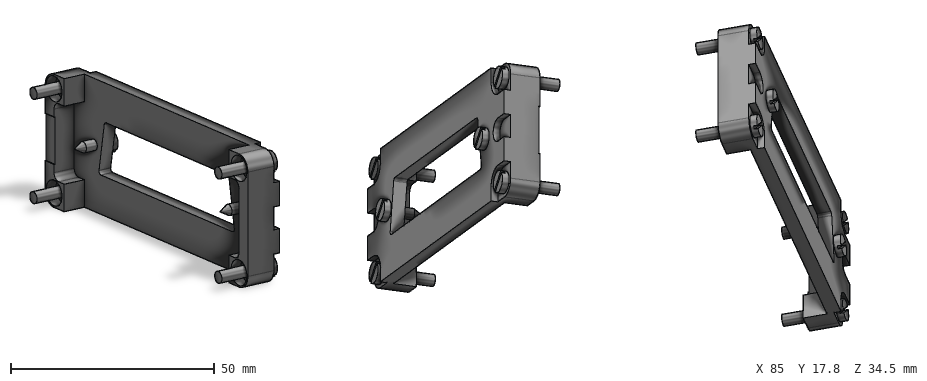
import cadquery as cq
import math

length = 85.0
height = 34.5
plate_thickness = 3.6
frame_depth = 9.7
corner_radius = 3.7

rail_width = corner_radius
block_width = 8.0
block_height = 7.1
block_fillet = 1.9

window_mid_width = 54.6
window_height = 14.1
window_slant = 10.0
window_radius = 0.85

head_radius = 2.8
head_height = 1.8
driver_slot_width = 0.8
driver_slot_depth = 0.9
driver_slot_angle = 45.0
screw_radius = 1.5
screw_reach = 16.0
screw_hole_radius = 3.3
screw_hole_depth = 3.0
pin_radius = 1.45
pin_spacing = 61.0
pin_shoulder = 6.9
pin_tip = 9.5

relief_radius = 4.25
end_notch_radius = 3.0

label_height = 12.2
label_depth = 0.25

screw_x = length / 2 - corner_radius
screw_z = height / 2 - corner_radius
hole_floor = frame_depth - screw_hole_depth
SIDES = (-1, 1)
CORNERS = [(sx, sz) for sx in SIDES for sz in SIDES]


def slab(x_size, z_size, x, z, rear, front):
    """Rectangular block centred on (x, z), from `rear` to `front` in distance ahead of the rear face."""
    return cq.Workplane("XY").box(x_size, front - rear, z_size).translate((x, -(rear + front) / 2, z))


def rod(radius, x, z, rear, front):
    """Cylinder along Y between two distances ahead of the rear face."""
    axis = cq.Vector(0, -1, 0)
    return cq.Workplane(cq.Solid.makeCylinder(radius, front - rear, cq.Vector(x, -rear, z), axis))


def frame():
    """Rounded plate with end rails and corner blocks left standing in front."""
    body = slab(length, height, 0, 0, 0, frame_depth).edges("|Y").fillet(corner_radius)
    inner_height = height - 2 * block_height
    between_rails = slab(length - 2 * rail_width, inner_height, 0, 0, plate_thickness, frame_depth)
    between_rails = between_rails.edges("|Y").fillet(block_fillet)
    between_blocks = slab(length - 2 * block_width, height, 0, 0, plate_thickness, frame_depth)
    return body.cut(between_rails).cut(between_blocks)


def window():
    """Through cutter for the trapezoidal opening."""
    half_height = window_height / 2
    flare = half_height * math.tan(math.radians(window_slant))
    half_top = window_mid_width / 2 - flare
    half_bottom = window_mid_width / 2 + flare
    outline = [
        (-half_top, half_height),
        (half_top, half_height),
        (half_bottom, -half_height),
        (-half_bottom, -half_height),
    ]
    cutter = cq.Workplane("XZ").polyline(outline).close().extrude(plate_thickness)
    return cutter.edges("|Y").fillet(window_radius)


def corner_relief(sx, sz):
    """Rear step around a screw head, open to both outer sides, with a round inner corner."""
    reach = corner_radius + relief_radius
    x = sx * (length - reach) / 2
    z = sz * (height - reach) / 2
    step = slab(reach, reach, x, z, 0, head_height)
    inner_edge = "|Y and " + ("<X" if sx > 0 else ">X") + " and " + ("<Z" if sz > 0 else ">Z")
    return step.edges(inner_edge).fillet(relief_radius)


def end_notch(sx):
    """Round-ended rear slot opening at the middle of an end face."""
    mouth = slab(corner_radius, 2 * end_notch_radius, sx * (length - corner_radius) / 2, 0, 0, head_height)
    return mouth.union(rod(end_notch_radius, sx * screw_x, 0, 0, head_height))


def slotted_head(x, z, rear):
    """Cheese head with a diagonal driver slot in its rear face."""
    head = rod(head_radius, x, z, rear, rear + head_height)
    slot = slab(driver_slot_width, 2 * head_radius, 0, 0, rear, rear + driver_slot_depth)
    slot = slot.rotate((0, 0, 0), (0, 1, 0), -driver_slot_angle).translate((x, 0, z))
    return head.cut(slot)


def corner_screw(x, z):
    """Screw with its head flush with the rear face of the frame."""
    return slotted_head(x, z, 0).union(rod(screw_radius, x, z, head_height, screw_reach))


def pointed_pin(x):
    """Pin with its head behind the plate and a conical point in front."""
    shank = rod(pin_radius, x, 0, 0, pin_shoulder)
    cone = cq.Solid.makeCone(
        pin_radius, 0, pin_tip - pin_shoulder, cq.Vector(x, -pin_shoulder, 0), cq.Vector(0, -1, 0)
    )
    return slotted_head(x, 0, -head_height).union(shank).union(cq.Workplane(cone))


result = frame().cut(window())

label_x = -(length - rail_width) / 2
result = result.cut(slab(rail_width, label_height, label_x, 0, frame_depth - label_depth, frame_depth))

for sx, sz in CORNERS:
    result = result.cut(corner_relief(sx, sz))
    result = result.cut(rod(screw_hole_radius, sx * screw_x, sz * screw_z, hole_floor, frame_depth))
for sx in SIDES:
    result = result.cut(end_notch(sx))

for sx, sz in CORNERS:
    result = result.union(corner_screw(sx * screw_x, sz * screw_z))
for sx in SIDES:
    result = result.union(pointed_pin(sx * pin_spacing / 2))